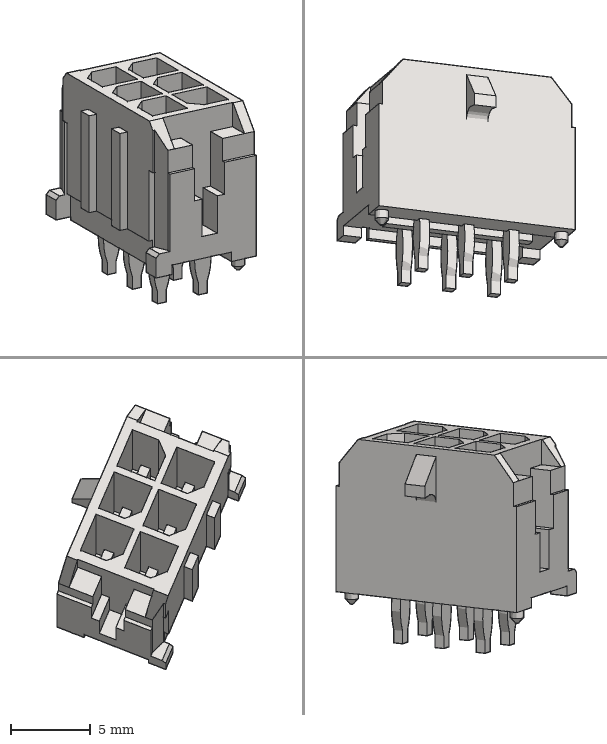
import cadquery as cq


LENGTH = 13.15
UPPER_LENGTH = 12.66
CORE_LENGTH = 9.78
FRONT_LENGTH = 10.76
HEIGHT = 9.88
DEPTH = 6.86
STEP_HEIGHT = 6.75
SHOULDER_HEIGHT = 8.26
CREST_LENGTH = 9.92
FRONT = -DEPTH / 2
BACK = DEPTH / 2
BEVEL_FRONT = FRONT + 0.13
BEVEL_BACK = -2.92

PITCH = 3.0
COLUMNS = (-PITCH, 0.0, PITCH)
ROWS = (-PITCH / 2, PITCH / 2)
CAVITY_SIZE = 2.56
CAVITY_CORNER = 0.79
CAVITY_FLOOR = 1.81
CONTACT_SIZE = 0.65
CONTACT_TOP = 6.58
CONTACT_BOTTOM = -3.21
BULGE_WIDTH = 1.21
BULGE_BOTTOM = -2.39

RECESS_BACK = 2.71
RECESS_FRONT = -2.43
WIDE_SLOT = 2.2
WIDE_SLOT_FLOOR = 4.6
NARROW_SLOT = 1.12
NARROW_SLOT_FLOOR = 2.1

SKIRT_HEIGHT = 1.81
SKIRT_SETBACK = 0.28
GROOVE_HEIGHT = 6.55
GROOVE_BACK = -2.63
RIB_SPACING = 3.67
RIB_WIDTH = 1.0
RIB_TOP = 8.3
RIB_DEPTH = 0.55

CLEARANCE = 0.63
CLEARANCE_BACK = 1.59
CLEARANCE_FRONT = -2.76
RAIL_WIDTH = 0.68

FOOT_FRONT = -3.93
FOOT_HEIGHT = 1.56
FOOT_CHAMFER = 0.25
PEG_DIAMETER = 0.85
PEG_TIP_DIAMETER = 0.18
PEG_STRAIGHT = 0.53
PEG_LENGTH = 0.9
PEG_X = 6.01
PEG_Y = 2.43
LATCH_WIDTH = 1.43
LATCH_REACH = 1.38
LATCH_TOP = 9.35
LATCH_NOSE_TOP = 7.69
LATCH_NOSE_BOTTOM = 6.93
LATCH_ROOT = 6.45
HOLLOW_START = (BACK + 0.74, 7.04)
HOLLOW_MIDDLE = (BACK + 0.25, 6.89)


def block(x0, x1, y0, y1, z0, z1):
    """Box between two opposite corners."""
    return cq.Workplane("XY").box(x1 - x0, y1 - y0, z1 - z0, centered=False).translate((x0, y0, z0))


def centred_block(length, y0, y1, z0, z1):
    """Box centred on X = 0."""
    return block(-length / 2, length / 2, y0, y1, z0, z1)


def both_ends(shape):
    """The shape together with its mirror image at the other end of the part."""
    return shape.union(shape.mirror("YZ"))


def housing_shell():
    """Bevelled block with sloping upper corners and thicker end plates below."""
    half_front = FRONT_LENGTH / 2
    half_upper = UPPER_LENGTH / 2
    plan = [
        (-half_front, FRONT),
        (half_front, FRONT),
        (half_front, BEVEL_FRONT),
        (half_upper, BEVEL_BACK),
        (half_upper, BACK),
        (-half_upper, BACK),
        (-half_upper, BEVEL_BACK),
        (-half_front, BEVEL_FRONT),
    ]
    elevation = [
        (-half_upper, 0),
        (half_upper, 0),
        (half_upper, SHOULDER_HEIGHT),
        (CREST_LENGTH / 2, HEIGHT),
        (-CREST_LENGTH / 2, HEIGHT),
        (-half_upper, SHOULDER_HEIGHT),
    ]
    bevelled = cq.Workplane("XY").polyline(plan).close().extrude(HEIGHT)
    sloped = cq.Workplane("XZ").polyline(elevation).close().extrude(DEPTH / 2, both=True)
    end_plates = centred_block(LENGTH, BEVEL_BACK, BACK, 0, STEP_HEIGHT)
    return bevelled.intersect(sloped).union(end_plates)


def end_openings():
    """Open recess above the shoulder and the stepped slot below it, at both ends."""
    inner = CORE_LENGTH / 2
    outer = LENGTH / 2
    recess = block(inner, outer, RECESS_FRONT, RECESS_BACK, SHOULDER_HEIGHT, HEIGHT)
    wide = block(inner, outer, -WIDE_SLOT / 2, WIDE_SLOT / 2, WIDE_SLOT_FLOOR, HEIGHT)
    narrow = block(inner, outer, -NARROW_SLOT / 2, NARROW_SLOT / 2, NARROW_SLOT_FLOOR, HEIGHT)
    return both_ends(recess.union(wide).union(narrow))


def front_cuts():
    """Set-back skirt along the bottom and a deep groove beside each bevel."""
    skirt = centred_block(CORE_LENGTH, FRONT, FRONT + SKIRT_SETBACK, 0, SKIRT_HEIGHT)
    groove = block(CORE_LENGTH / 2, FRONT_LENGTH / 2, FRONT, GROOVE_BACK, 0, GROOVE_HEIGHT)
    return skirt.union(both_ends(groove))


def underside_clearance():
    """Channel under the housing, leaving a rail along the middle."""
    channel = centred_block(LENGTH, CLEARANCE_FRONT, CLEARANCE_BACK, 0, CLEARANCE)
    rail = centred_block(CORE_LENGTH, -RAIL_WIDTH / 2, RAIL_WIDTH / 2, 0, CLEARANCE)
    return channel.cut(rail)


def cavity(x, y, key_edge):
    """Square well with one keyed front corner."""
    return (
        cq.Workplane("XY", origin=(x, y, CAVITY_FLOOR))
        .rect(CAVITY_SIZE, CAVITY_SIZE)
        .extrude(HEIGHT - CAVITY_FLOOR)
        .edges("|Z and <Y")
        .edges(key_edge)
        .chamfer(CAVITY_CORNER)
    )


def contact(x, y):
    """Square contact with a bulged press-fit section below the housing."""
    half = CONTACT_SIZE / 2
    bulge_middle = (CLEARANCE + BULGE_BOTTOM) / 2
    return (
        cq.Workplane("YZ", origin=(x, y, 0))
        .moveTo(-half, CONTACT_BOTTOM)
        .lineTo(half, CONTACT_BOTTOM)
        .lineTo(half, BULGE_BOTTOM)
        .threePointArc((BULGE_WIDTH / 2, bulge_middle), (half, CLEARANCE))
        .lineTo(half, CONTACT_TOP)
        .lineTo(-half, CONTACT_TOP)
        .lineTo(-half, CLEARANCE)
        .threePointArc((-BULGE_WIDTH / 2, bulge_middle), (-half, BULGE_BOTTOM))
        .close()
        .extrude(half, both=True)
    )


def rib(x):
    """Upright guide rib on the front face."""
    upright = centred_block(RIB_WIDTH, FRONT - RIB_DEPTH, FRONT, SKIRT_HEIGHT, RIB_TOP)
    return upright.translate((x, 0, 0))


def foot():
    """Forward foot at the +X end, chamfered along its top front edge."""
    body = block(FRONT_LENGTH / 2, LENGTH / 2, FOOT_FRONT, CLEARANCE_FRONT, 0, FOOT_HEIGHT)
    return body.edges("<Y and >Z").chamfer(FOOT_CHAMFER)


def peg():
    """Locating peg with a conical tip at the +X end."""
    radius = PEG_DIAMETER / 2
    profile = [
        (0, 0),
        (radius, 0),
        (radius, -PEG_STRAIGHT),
        (PEG_TIP_DIAMETER / 2, -PEG_LENGTH),
        (0, -PEG_LENGTH),
    ]
    turned = cq.Workplane("XZ").polyline(profile).close().revolve(360, (0, 0), (0, 1))
    return turned.translate((PEG_X, PEG_Y, 0))


def latch():
    """Ramped catch on the back face with a hollowed underside."""
    return (
        cq.Workplane("YZ")
        .moveTo(BACK, LATCH_TOP)
        .lineTo(BACK + LATCH_REACH, LATCH_NOSE_TOP)
        .lineTo(BACK + LATCH_REACH, LATCH_NOSE_BOTTOM)
        .lineTo(*HOLLOW_START)
        .threePointArc(HOLLOW_MIDDLE, (BACK, LATCH_ROOT))
        .close()
        .extrude(LATCH_WIDTH / 2, both=True)
    )


result = housing_shell().cut(end_openings()).cut(front_cuts()).cut(underside_clearance())

for x in COLUMNS:
    for y in ROWS:
        is_opposite = x == COLUMNS[-1] and y == ROWS[-1]
        result = result.cut(cavity(x, y, ">X" if is_opposite else "<X"))
        result = result.union(contact(x, y))

for x in (-RIB_SPACING / 2, RIB_SPACING / 2):
    result = result.union(rib(x))

result = result.union(both_ends(foot())).union(both_ends(peg())).union(latch())